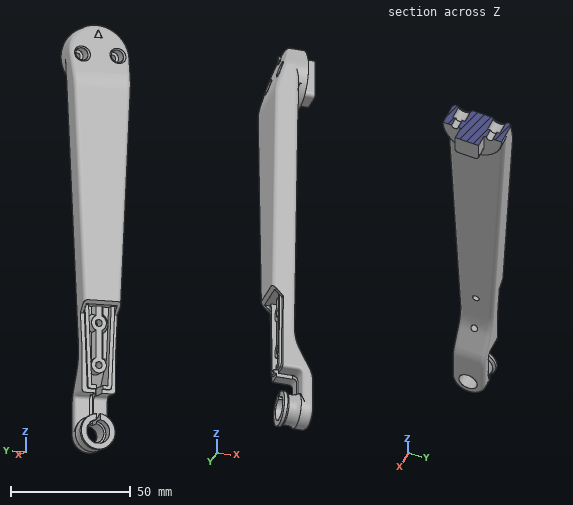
import cadquery as cq
import math


LENGTH = 181
HEAD_WIDTH = 27.0
HEAD_RADIUS = HEAD_WIDTH / 2
HEAD_Z = LENGTH - HEAD_RADIUS
HEAD_BACK = 14.3
HEAD_FACE_TOP_X = 7.5
HEAD_FACE_FOOT_Z = 156.2
HEAD_BEND_RADIUS = 21.7
HEAD_SLOPE = math.atan2(HEAD_FACE_TOP_X, LENGTH - HEAD_FACE_FOOT_Z)
HEAD_BLEND = 1.5

ARM_BACK = 10.5
ARM_EDGE = 1.8
TAPER_END_Z = 50.0
TAPER_END_HALF = 8.0
STRAIGHT_Z = 35.3

BEND_TOP_Z = 38.7
BEND_FOOT_Z = 22.8
BEND_TOP_RADIUS = 23.5
BEND_FOOT_RADIUS = 14.0

LUG_WIDTH = 15.0
LUG_RADIUS = LUG_WIDTH / 2
LUG_FRONT = 13.5
LUG_BACK = 18.6
LUG_EDGE = 1.3
LUG_INNER_RADIUS = 1.6
STEP_Z = 23.7
HUB_RADIUS = 7.6
HUB_Z = HUB_RADIUS
HUB_FRONT = 5.6
HUB_WAIST_DIAMETER = 13.2
HUB_FLANGE_BACK = 7.0
HUB_WAIST_FRONT = 8.0
HUB_WAIST_BACK = 9.6
HUB_COLLAR_FRONT = 13.0
HUB_FLARE_SAG = 0.4
HUB_BORE_RADIUS = 5.0
HUB_HOLE_RADIUS = 4.2
HUB_BORE_FLOOR = 10.1

SHELF_X = 4.9
SHELF_SLOPE_TOP_Z = 62.3
RECESS_TOP_Z = 60.8
RECESS_HALF = 6.9
LIP_X = 3.8
LIP_WALL = 1.6
LIP_BOTTOM_Z = 25.3
LIP_TOP_HALF = 6.7
LIP_BOTTOM_HALF = 5.2
LIP_CORNER = 0.9
POCKET_FLOOR = 6.9

POST_ZS = (35.7, 53.5)
POST_DIAMETER = 6.7
POST_RADIUS = POST_DIAMETER / 2
POST_HOLE_RADIUS = 1.5
POST_X = SHELF_X
POST_FOOT_RADIUS = 4.7
RIB_HALF = 1.3
RIB_FOOT_HALF = 2.5

CHANNEL_HALF = 0.9
CHANNEL_WALL_HALF = 1.5
CHANNEL_FLOOR = 15.0

SCREW_Y = 8.0
SCREW_HOLE_RADIUS = 1.5
SCREW_BORE_RADIUS = 2.7
SCREW_BORE_FLOOR = 10.0
SCREW_RIM_DIAMETER = 7.0
SCREW_RIM_RADIUS = SCREW_RIM_DIAMETER / 2

BLOCK_BACK = 20
BLOCK_WIDTH = 10.9
BLOCK_LENGTH = 18.1
BLOCK_CORNER = 1.8

ARROW_TIP_Z = 178.3
ARROW_BASE_Z = 175.2
ARROW_HALF = 1.6
ARROW_FACE_X = 5.2

FAR = 36.2
OVERSHOOT = 1.8
MARGIN = 0.2
ABOVE_TOP = LENGTH + OVERSHOOT


def across(profile, half_width):
    """Extrude a closed XZ wire symmetrically along Y."""
    return profile.extrude(half_width, both=True)


def slab(outline, x_front, x_back):
    """Extrude a closed YZ wire from x_front to x_back."""
    return outline.extrude(x_back - x_front).translate((x_front, 0, 0))


def rod(radius, y, z, x_front, x_back):
    """Cylinder along X."""
    return slab(cq.Workplane("YZ").center(y, z).circle(radius), x_front, x_back)


def block(x_front, x_back, half_width, z_low, z_high):
    """Box centred on Y = 0."""
    side = cq.Workplane("XZ").moveTo(x_front, z_low).lineTo(x_back, z_low).lineTo(x_back, z_high)
    return across(side.lineTo(x_front, z_high).close(), half_width)


def corner(x, z):
    """Select the edge across the width that passes through (x, z)."""
    low = (x - MARGIN, -FAR, z - MARGIN)
    high = (x + MARGIN, FAR, z + MARGIN)
    return cq.selectors.BoxSelector(low, high)


def face_x(z):
    """X of the sloping head face at height z."""
    return (z - HEAD_FACE_FOOT_Z) * math.tan(HEAD_SLOPE)


def side_body():
    """Side profile of arm and lug plate, extruded over more than the full width."""
    profile = (
        cq.Workplane("XZ")
        .moveTo(0, STEP_Z)
        .lineTo(LUG_FRONT, STEP_Z)
        .lineTo(LUG_FRONT, -OVERSHOOT)
        .lineTo(LUG_BACK, -OVERSHOOT)
        .lineTo(LUG_BACK, BEND_FOOT_Z)
        .lineTo(ARM_BACK, BEND_TOP_Z)
        .lineTo(ARM_BACK, ABOVE_TOP)
        .lineTo(face_x(ABOVE_TOP), ABOVE_TOP)
        .lineTo(0, HEAD_FACE_FOOT_Z)
        .close()
    )
    body = across(profile, FAR)
    for x, z, radius in (
        (0, HEAD_FACE_FOOT_Z, HEAD_BEND_RADIUS),
        (ARM_BACK, BEND_TOP_Z, BEND_TOP_RADIUS),
        (LUG_BACK, BEND_FOOT_Z, BEND_FOOT_RADIUS),
        (LUG_FRONT, STEP_Z, LUG_INNER_RADIUS),
    ):
        body = body.edges(corner(x, z)).fillet(radius)
    return body


def width_outline():
    """Tapered outline with round ends."""
    lower = (
        cq.Workplane("YZ")
        .moveTo(0, HUB_Z - LUG_RADIUS)
        .threePointArc(
            (LUG_RADIUS * math.sqrt(0.5), HUB_Z - LUG_RADIUS * math.sqrt(0.5)),
            (LUG_RADIUS, HUB_Z),
        )
        .lineTo(LUG_RADIUS, STRAIGHT_Z)
        .tangentArcPoint((TAPER_END_HALF, TAPER_END_Z), relative=False)
    )
    return (
        lower.lineTo(HEAD_RADIUS, HEAD_Z)
        .threePointArc(
            (HEAD_RADIUS * math.sqrt(0.5), HEAD_Z + HEAD_RADIUS * math.sqrt(0.5)),
            (0, HEAD_Z + HEAD_RADIUS),
        )
        .mirrorY()
    )


def rim_edges(body, x_low, x_high):
    """Rim edges of the wide faces whose middle lies between x_low and x_high."""
    rim = body.edges("not (|X or |Y)")
    return rim.filter(lambda edge: x_low < edge.Center().x < x_high)


def thick_head():
    """Upper half of the head at its full thickness."""
    profile = (
        cq.Workplane("XZ")
        .moveTo(face_x(HEAD_Z), HEAD_Z)
        .lineTo(HEAD_BACK, HEAD_Z)
        .lineTo(HEAD_BACK, ABOVE_TOP)
        .lineTo(face_x(ABOVE_TOP), ABOVE_TOP)
        .close()
    )
    return across(profile, FAR).intersect(slab(width_outline(), 0, FAR))


def arm():
    """Arm, lug plate and head front, with rounded back, front and lug edges."""
    body = side_body().intersect(slab(width_outline(), 0, FAR))
    lug_back_x = LUG_FRONT + LUG_EDGE
    back_rim = rim_edges(body, ARM_BACK - MARGIN, FAR)
    back_rim = back_rim.filter(
        lambda edge: edge.Center().z > STEP_Z or edge.Center().x > lug_back_x
    )
    body = back_rim.fillet(ARM_EDGE)
    body = body.union(thick_head())
    body = rim_edges(body, -OVERSHOOT, ARM_BACK - ARM_EDGE - MARGIN).fillet(ARM_EDGE)
    lug_rim = rim_edges(body, LUG_FRONT - LUG_INNER_RADIUS, LUG_FRONT + MARGIN)
    return lug_rim.filter(lambda edge: edge.Center().z < STEP_Z).fillet(LUG_EDGE)


def head_blend():
    """Concave blend from the round head down to the flat back of the arm."""
    inner = HEAD_RADIUS - HEAD_BLEND
    tangent = HEAD_BLEND * (1 - math.sqrt(0.5))
    ring = (
        cq.Workplane("XY")
        .moveTo(ARM_BACK - HEAD_BLEND, inner)
        .lineTo(ARM_BACK + HEAD_BLEND, inner)
        .lineTo(ARM_BACK + HEAD_BLEND, HEAD_RADIUS)
        .threePointArc((ARM_BACK + tangent, HEAD_RADIUS + tangent), (ARM_BACK, HEAD_RADIUS + HEAD_BLEND))
        .lineTo(ARM_BACK - HEAD_BLEND, HEAD_RADIUS + HEAD_BLEND)
        .close()
        .revolve(360, (0, 0, 0), (1, 0, 0))
        .translate((0, 0, HEAD_Z))
    )
    flat_back = slab(width_outline().offset2D(-ARM_EDGE), 0, HEAD_BACK)
    return ring.intersect(flat_back)


def head(body):
    """Add the round back of the head and its drive block."""
    body = body.union(rod(HEAD_RADIUS, 0, HEAD_Z, ARM_BACK - ARM_EDGE, HEAD_BACK))
    body = body.union(head_blend())
    half_length = BLOCK_LENGTH / 2
    low = HEAD_Z - half_length
    high = HEAD_Z + half_length
    drive = block(ARM_BACK, BLOCK_BACK, BLOCK_WIDTH / 2, low, high)
    return body.union(drive.edges("|X").fillet(BLOCK_CORNER))


def shelf_cut():
    """Volume removed from the front to lower it below a sloping step."""
    step = (
        cq.Workplane("XZ")
        .moveTo(-OVERSHOOT, SHELF_SLOPE_TOP_Z + OVERSHOOT)
        .lineTo(SHELF_X, SHELF_SLOPE_TOP_Z - SHELF_X)
        .lineTo(SHELF_X, 0)
        .lineTo(-OVERSHOOT, 0)
        .close()
    )
    recess = block(-OVERSHOOT, SHELF_X, RECESS_HALF, LIP_BOTTOM_Z, RECESS_TOP_Z)
    return across(step, FAR).union(recess)


def trapezoid(top_half, top_z, bottom_half, bottom_z):
    """Closed YZ wire, symmetrical about Y = 0."""
    points = [(-top_half, top_z), (top_half, top_z), (bottom_half, bottom_z), (-bottom_half, bottom_z)]
    return cq.Workplane("YZ").polyline(points).close()


def lip():
    """Raised border of the pocket, still solid inside."""
    border = slab(
        trapezoid(LIP_TOP_HALF, RECESS_TOP_Z, LIP_BOTTOM_HALF, LIP_BOTTOM_Z), LIP_X, SHELF_X
    )
    return border.edges("|X and <Z").fillet(LIP_CORNER)


def rib():
    """Rib with sloping flanks that runs up from the lower post."""
    return (
        cq.Workplane("XY")
        .polyline([
            (LUG_BACK, -RIB_FOOT_HALF),
            (POCKET_FLOOR, -RIB_FOOT_HALF),
            (POST_X, -RIB_HALF),
            (POST_X, RIB_HALF),
            (POCKET_FLOOR, RIB_FOOT_HALF),
            (LUG_BACK, RIB_FOOT_HALF),
        ])
        .close()
        .extrude(RECESS_TOP_Z - min(POST_ZS))
        .translate((0, 0, min(POST_ZS)))
    )


def pocket():
    """Pocket volume whose floor follows the back of the arm, less the posts and rib."""
    top_half = LIP_TOP_HALF - LIP_WALL
    bottom_half = LIP_BOTTOM_HALF - LIP_WALL
    opening = trapezoid(top_half, RECESS_TOP_Z, bottom_half, LIP_BOTTOM_Z + LIP_WALL)
    hollow = slab(opening, 0, LUG_BACK)
    slope = (LUG_BACK - ARM_BACK) / (BEND_TOP_Z - BEND_FOOT_Z)
    floor_side = (
        cq.Workplane("XZ")
        .moveTo(0, RECESS_TOP_Z)
        .lineTo(POCKET_FLOOR, RECESS_TOP_Z)
        .lineTo(POCKET_FLOOR, BEND_TOP_Z)
        .lineTo(POCKET_FLOOR + slope * BEND_TOP_Z, 0)
        .lineTo(0, 0)
        .close()
    )
    hollow = hollow.intersect(across(floor_side, FAR))
    hollow = hollow.cut(rib())
    for z in POST_ZS:
        hollow = hollow.cut(rod(POST_RADIUS, 0, z, POST_X, LUG_BACK))
    foot = cq.Solid.makeCone(
        POST_RADIUS,
        POST_FOOT_RADIUS,
        POCKET_FLOOR - POST_X,
        cq.Vector(POST_X, 0, max(POST_ZS)),
        cq.Vector(1, 0, 0),
    )
    return hollow.cut(cq.Workplane(foot))


def hub():
    """Grooved tube that stands forward from the lug plate."""
    waist = HUB_WAIST_DIAMETER / 2
    profile = (
        cq.Workplane("XY")
        .moveTo(HUB_FRONT, 0)
        .lineTo(HUB_FRONT, HUB_RADIUS)
        .lineTo(HUB_FLANGE_BACK, HUB_RADIUS)
        .lineTo(HUB_WAIST_FRONT, waist)
        .lineTo(HUB_WAIST_BACK, waist)
        .sagittaArc((HUB_COLLAR_FRONT, LUG_RADIUS), -HUB_FLARE_SAG)
        .lineTo(LUG_BACK - ARM_EDGE, LUG_RADIUS)
        .lineTo(LUG_BACK - ARM_EDGE, 0)
        .close()
    )
    return profile.revolve(360, (0, 0, 0), (1, 0, 0)).translate((0, 0, HUB_Z))


def hub_bore():
    """Stepped hole through the hub."""
    bore = rod(HUB_BORE_RADIUS, 0, HUB_Z, HUB_FRONT, HUB_BORE_FLOOR)
    return bore.union(rod(HUB_HOLE_RADIUS, 0, HUB_Z, HUB_FRONT, LUG_BACK))


def channel():
    """Wire channel, wider where it passes through the wall below the pocket."""
    groove = block(LIP_X, CHANNEL_FLOOR, CHANNEL_HALF, HUB_Z, LIP_BOTTOM_Z + LIP_WALL)
    gap = block(LIP_X, LUG_FRONT - LUG_INNER_RADIUS, CHANNEL_WALL_HALF, STEP_Z, LIP_BOTTOM_Z + LIP_WALL)
    return groove.union(gap)


def screw_hole(y):
    """Through hole with a deep bore and a bevelled rim on the sloping face."""
    rim_depth = SCREW_RIM_RADIUS - SCREW_BORE_RADIUS
    inward = cq.Vector(math.cos(HEAD_SLOPE), 0, -math.sin(HEAD_SLOPE))
    mouth = cq.Vector(face_x(HEAD_Z), y, HEAD_Z)
    rim = cq.Solid.makeCone(SCREW_RIM_RADIUS, SCREW_BORE_RADIUS, rim_depth, mouth, inward)
    bore = rod(SCREW_BORE_RADIUS, y, HEAD_Z, 0, SCREW_BORE_FLOOR)
    return rod(SCREW_HOLE_RADIUS, y, HEAD_Z, 0, FAR).union(bore).union(cq.Workplane(rim))


def arrow():
    """Raised triangle whose face is square to X."""
    points = [(-ARROW_HALF, ARROW_BASE_Z), (ARROW_HALF, ARROW_BASE_Z), (0, ARROW_TIP_Z)]
    return slab(cq.Workplane("YZ").polyline(points).close(), ARROW_FACE_X, ARM_BACK)


result = head(arm()).cut(shelf_cut()).union(lip()).cut(pocket())
result = result.union(hub()).cut(hub_bore()).cut(channel()).union(arrow())
for post_z in POST_ZS:
    result = result.cut(rod(POST_HOLE_RADIUS, 0, post_z, 0, LUG_BACK))
for screw_y in (-SCREW_Y, SCREW_Y):
    result = result.cut(screw_hole(screw_y))